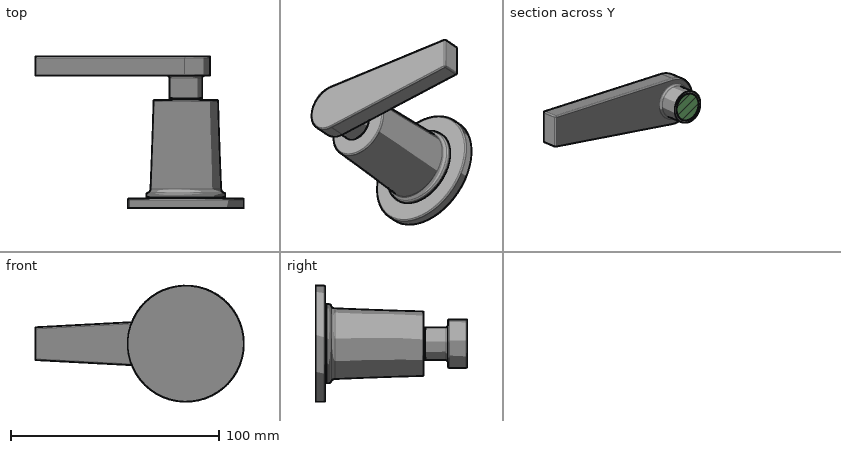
import cadquery as cq

total_height = 72.9
total_length = 100.3

flange_radius = 27.94
flange_thickness = 4.7
edge_round = 0.7

relief_radius = 17.8
collar_radius = 19.1
collar_bottom = 5.3
collar_top = 7.4
collar_round = 1.0

body_bottom = 9.2
body_bottom_radius = 17.1
body_top = 52.0
body_top_radius = 15.6
body_flare_sag = 0.1
cove_top_radius = 18.4
cove_arc_radius = 1.8

gap_radius = 6.7
gap_height = 0.8
stem_radius = 7.9
stem_cove = 1.0

lever_thickness = 9.4
lever_bottom = total_height - lever_thickness
hub_radius = 11.7
tip_half_width = 7.9
tip_x = flange_radius - total_length


def flange():
    disc = cq.Workplane("XZ").circle(flange_radius).extrude(-flange_thickness)
    return disc.faces(">Y").edges().fillet(edge_round)


def body():
    """Collar, cove and flared body, revolved as one profile."""
    middle_radius = (body_bottom_radius + body_top_radius) / 2 - body_flare_sag
    middle_height = (body_bottom + body_top) / 2
    profile = (
        cq.Workplane("XY")
        .lineTo(relief_radius, 0)
        .lineTo(relief_radius, collar_bottom)
        .lineTo(collar_radius, collar_bottom)
        .lineTo(collar_radius, collar_top - collar_round)
        .radiusArc((cove_top_radius, collar_top), -collar_round)
        .radiusArc((body_bottom_radius, body_bottom), cove_arc_radius)
        .threePointArc((middle_radius, middle_height), (body_top_radius, body_top))
        .lineTo(0, body_top)
        .close()
    )
    solid = profile.revolve(360, (0, 0, 0), (0, 1, 0))
    return solid.faces(">Y").edges().fillet(edge_round)


def stem():
    """Stem with a relief at its foot and a cove where it meets the lever."""
    stem_bottom = body_top + gap_height
    profile = (
        cq.Workplane("XY")
        .moveTo(0, body_top)
        .lineTo(gap_radius, body_top)
        .lineTo(gap_radius, stem_bottom)
        .lineTo(stem_radius, stem_bottom)
        .lineTo(stem_radius, lever_bottom - stem_cove)
        .radiusArc((stem_radius + stem_cove, lever_bottom), stem_cove)
        .lineTo(0, lever_bottom)
        .close()
    )
    return profile.revolve(360, (0, 0, 0), (0, 1, 0))


def lever():
    """Bar with sides tangent to its round hub, tapering to a flat tip."""
    tip_distance = (tip_x**2 + tip_half_width**2) ** 0.5
    tangent_length = (tip_distance**2 - hub_radius**2) ** 0.5
    along = hub_radius / tip_distance
    across = tangent_length / tip_distance
    unit_x = tip_x / tip_distance
    unit_z = tip_half_width / tip_distance
    tangent_x = hub_radius * (along * unit_x + across * unit_z)
    tangent_z = hub_radius * (along * unit_z - across * unit_x)
    bar = (
        cq.Workplane("XZ", origin=(0, lever_bottom, 0))
        .moveTo(tip_x, tip_half_width)
        .lineTo(tangent_x, tangent_z)
        .threePointArc((hub_radius, 0), (tangent_x, -tangent_z))
        .lineTo(tip_x, -tip_half_width)
        .close()
        .extrude(-lever_thickness)
    )
    return bar.faces("<X or >Y or <Y").edges().fillet(edge_round)


result = flange().union(body()).union(stem()).union(lever())